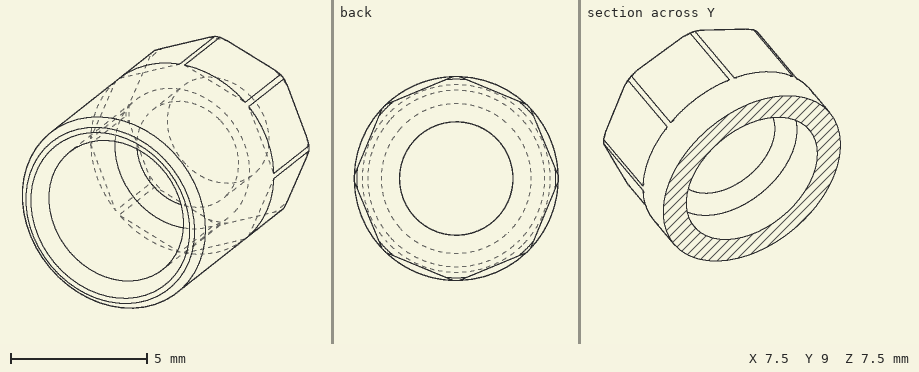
import cadquery as cq
import math

length = 9.0
outer_diameter = 7.5
outer_radius = outer_diameter / 2
half_length = length / 2

side_count = 8
grip_length = length / 3
across_flats = 7.0
grip_bevel_width = 0.1
grip_bevel_angle = 30.0
grip_bevel_length = grip_bevel_width * math.tan(math.radians(grip_bevel_angle))

mouth_outer_chamfer = 0.3
bore_radius = 2.75
mouth_inner_chamfer = 0.495
mouth_radius = bore_radius + mouth_inner_chamfer

bore_depth = 6.0
seat_radius = 2.23
seat_included_angle = 120.0
seat_length = (bore_radius - seat_radius) / math.tan(math.radians(seat_included_angle / 2))
outlet_radius = 2.08
outlet_chamfer = seat_radius - outlet_radius


def revolve_about_axis(points):
    """Revolve a closed (radius, y) outline about the Y axis."""
    return cq.Workplane("XY").polyline(points).close().revolve(360, (0, 0, 0), (0, 1, 0))


def outer_body():
    return revolve_about_axis([
        (0, -half_length),
        (outer_radius - mouth_outer_chamfer, -half_length),
        (outer_radius, -half_length + mouth_outer_chamfer),
        (outer_radius, half_length - grip_bevel_length),
        (outer_radius - grip_bevel_width, half_length),
        (0, half_length),
    ])


def grip_envelope():
    """Octagonal bar with corners on the X and Z axes, clear of the round body."""
    across_corners = across_flats / math.cos(math.pi / side_count)
    grip_start = half_length - grip_length
    grip_plane = cq.Workplane("XZ", origin=(0, grip_start, 0))
    bar = grip_plane.polygon(side_count, across_corners).extrude(-grip_length)
    round_part = grip_plane.circle(across_corners).extrude(length)
    return bar.union(round_part)


def interior():
    bore_end = -half_length + bore_depth
    seat_end = bore_end + seat_length
    return revolve_about_axis([
        (0, -half_length),
        (mouth_radius, -half_length),
        (bore_radius, -half_length + mouth_inner_chamfer),
        (bore_radius, bore_end),
        (seat_radius, seat_end),
        (outlet_radius, seat_end + outlet_chamfer),
        (outlet_radius, half_length),
        (0, half_length),
    ])


result = outer_body().intersect(grip_envelope()).cut(interior())